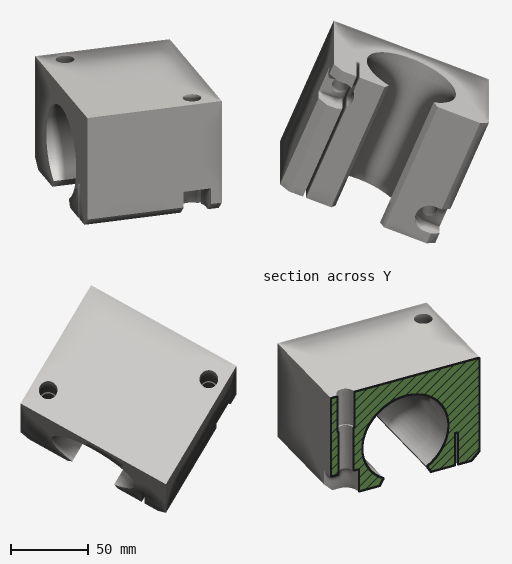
import cadquery as cq
import math

length = 108.0
depth = 91.0
height = 77.0
bottom_chamfer = 6.0

bore_diameter = 62.0
bore_below_top = 45.0
opening_angle = 60.0

slot_x = 37.0
slot_width = 2.0
slot_height = 24.3

hole_x = 43.0
hole_y = 28.9
upper_hole_diameter = 12.0
lower_hole_diameter = 10.3
upper_hole_depth = 27.0

pocket_width = 18.4
pocket_height = 17.0


def make_block():
    block = cq.Workplane("XY").box(length, depth, height, centered=(True, True, False))
    return block.faces("<Z").edges("|Y").chamfer(bottom_chamfer)


def make_bore():
    center_z = height - bore_below_top
    bore = cq.Workplane("XZ").center(0, center_z).circle(bore_diameter / 2).extrude(depth / 2, both=True)
    half_mouth = center_z * math.tan(math.radians(opening_angle / 2))
    wedge = (
        cq.Workplane("XZ")
        .polyline([(0, center_z), (-half_mouth, 0), (half_mouth, 0)])
        .close()
        .extrude(depth / 2, both=True)
    )
    return bore.union(wedge)


def make_clamping_slot():
    slot = cq.Workplane("XY").box(slot_width, depth, slot_height, centered=(True, True, False))
    return slot.translate((slot_x, 0, 0))


def make_corner_hole():
    """Stepped hole and its pocket at the -X, -Y corner."""
    lower_hole = cq.Workplane("XY").circle(lower_hole_diameter / 2).extrude(height)
    upper_hole = (
        cq.Workplane("XY", origin=(0, 0, height))
        .circle(upper_hole_diameter / 2)
        .extrude(-upper_hole_depth)
    )
    round_end = cq.Workplane("XY").circle(pocket_width / 2).extrude(pocket_height)
    edge_distance = length / 2 - hole_x
    side_channel = (
        cq.Workplane("XY")
        .box(edge_distance, pocket_width, pocket_height, centered=(False, True, False))
        .translate((-edge_distance, 0, 0))
    )
    cutter = lower_hole.union(upper_hole).union(round_end).union(side_channel)
    return cutter.translate((-hole_x, -hole_y, 0))


result = make_block().cut(make_bore()).cut(make_clamping_slot())

corner_hole = make_corner_hole()
for turn in (0, 180):
    result = result.cut(corner_hole.rotate((0, 0, 0), (0, 0, 1), turn))